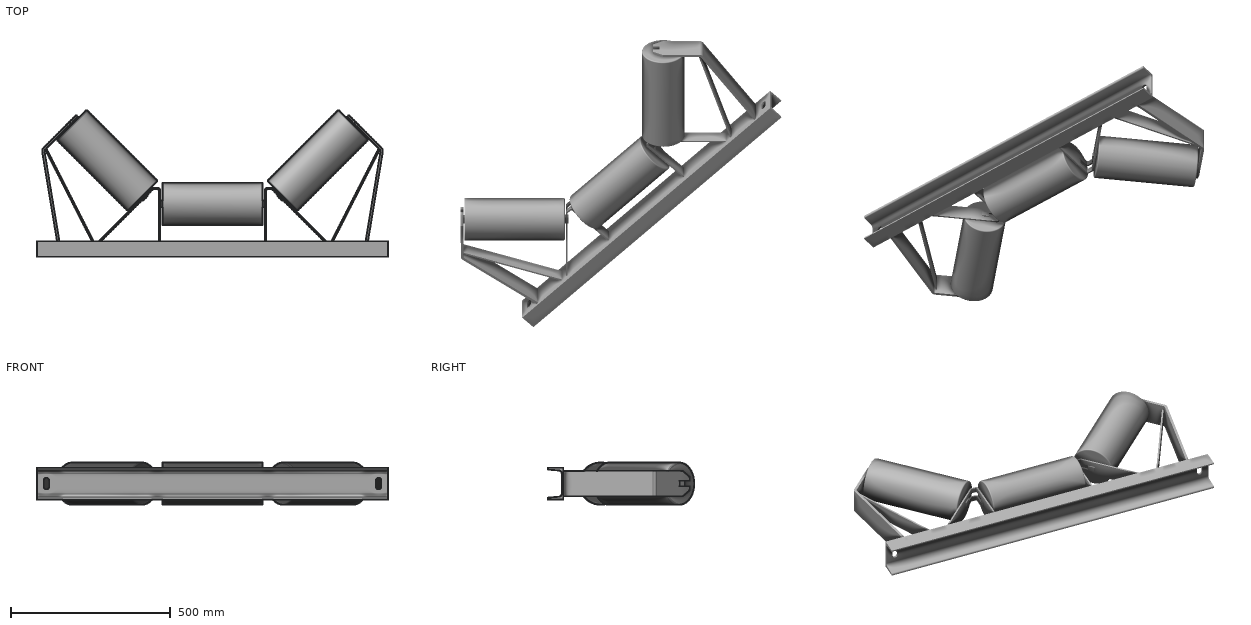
import cadquery as cq
import math


BEAM_LENGTH = 1100.0
BEAM_HEIGHT = 100.0
BEAM_DEPTH = 50.0
WEB_THICKNESS = 6.0
FLANGE_THICKNESS = 8.5
FLANGE_SLOPE = 0.08
ROOT_RADIUS = 8.5
TOE_RADIUS = 4.0
SLOT_OFFSET = 520.0
SLOT_LENGTH = 36.0
SLOT_WIDTH = 18.0

ROLLER_DIAMETER = 133.0
ROLLER_LENGTH = 315.0
ROLLER_EDGE_RADIUS = 3.0
CENTRE_GAP = 7.0
SIDE_GAP = 3.0
TAB_DEPTH = 22.0
TAB_WIDTH = 16.0
TROUGH_ANGLE = 45.0
CENTRE_ROLLER_Y = 166.0
SIDE_ROLLER_X = 330.0
SIDE_ROLLER_Y = 302.0

INNER_WIDTH = 50.0
INNER_THICKNESS = 5.0
INNER_TOP_Y = 217.0
INNER_BEND_RADIUS = 3.0

OUTER_WIDTH = 80.0
OUTER_THICKNESS = 8.0
OUTER_TIP_RISE = 32.0
OUTER_BEND_DROP = 121.0
OUTER_FOOT_X = 487.0
OUTER_BEND_RADIUS = 4.0
TIP_CHAMFER_LENGTH = 31.0
TIP_CHAMFER_WIDTH = 19.0

STRUT_WIDTH = 50.0
STRUT_THICKNESS = 5.0
STRUT_FOOT_X = 375.0
STRUT_ANGLE = 27.0

SHAFT_REACH = ROLLER_LENGTH / 2 + SIDE_GAP + OUTER_THICKNESS
ANGLE = math.radians(TROUGH_ANGLE)
AXIS_IN = cq.Vector(math.cos(ANGLE), -math.sin(ANGLE))
ACROSS = cq.Vector(math.sin(ANGLE), math.cos(ANGLE))
SIDE_CENTRE = cq.Vector(-SIDE_ROLLER_X, SIDE_ROLLER_Y)
BELOW_BEAM_FACE = 11.0


def crossing(start_a, along_a, start_b, along_b):
    """Point where two lines in the XY plane cross."""
    step = start_b - start_a
    turn = along_a.x * along_b.y - along_a.y * along_b.x
    distance = (step.x * along_b.y - step.y * along_b.x) / turn
    return start_a + along_a * distance


def strip(path, thickness, width):
    """Bent strip with its right-hand face on the path, with sharp bends, centred on Z = 0."""
    runs = [(b - a).normalized() for a, b in zip(path, path[1:])]
    shifts = [cq.Vector(-run.y, run.x) * thickness for run in runs]
    left = [path[0] + shifts[0]]
    for i in range(1, len(runs)):
        left.append(crossing(path[i] + shifts[i - 1], runs[i - 1], path[i] + shifts[i], runs[i]))
    left.append(path[-1] + shifts[-1])
    corners = [(p.x, p.y) for p in path + left[::-1]]
    body = cq.Workplane("XY", origin=(0, 0, -width / 2)).polyline(corners).close().extrude(width)
    return body, left


def round_bend(body, inside, outside, inside_radius, thickness):
    """Round the two edges of one bend about a common centre."""
    for point, radius in ((inside, inside_radius), (outside, inside_radius + thickness)):
        edge = cq.selectors.NearestToPointSelector((point.x, point.y, 0))
        body = body.edges("|Z").edges(edge).fillet(radius)
    return body


def trim_at_beam(body):
    """Remove what lies below the outer face of the web."""
    below = cq.Workplane("XY").box(BEAM_LENGTH, BEAM_DEPTH, BEAM_HEIGHT)
    return body.cut(below.translate((0, BEAM_DEPTH / 2, 0)))


def mirrored(body):
    return body.mirror("YZ")


def make_beam():
    half = BEAM_HEIGHT / 2
    toe = half - FLANGE_THICKNESS + FLANGE_SLOPE * BEAM_DEPTH / 2
    root = toe - FLANGE_SLOPE * (BEAM_DEPTH - WEB_THICKNESS)
    web_inside = BEAM_DEPTH - WEB_THICKNESS
    upper = [(BEAM_DEPTH, half), (0, half), (0, toe), (web_inside, root)]
    lower = [(y, -z) for y, z in reversed(upper)]
    beam = cq.Workplane("YZ", origin=(-BEAM_LENGTH / 2, 0, 0))
    beam = beam.polyline(upper + lower).close().extrude(BEAM_LENGTH)
    near = 1.0
    root_edges = cq.selectors.BoxSelector(
        (-near, web_inside - near, -half + near), (near, web_inside + near, half - near))
    toe_edges = cq.selectors.BoxSelector(
        (-near, -near, -half + near), (near, near, half - near))
    beam = beam.edges("|X").edges(root_edges).fillet(ROOT_RADIUS)
    beam = beam.edges("|X").edges(toe_edges).fillet(TOE_RADIUS)
    slots = (
        cq.Workplane("XZ")
        .pushPoints([(-SLOT_OFFSET, 0), (SLOT_OFFSET, 0)])
        .slot2D(SLOT_LENGTH, SLOT_WIDTH, 90)
        .extrude(-BEAM_DEPTH)
    )
    return beam.cut(slots)


def make_roller():
    """Roller along X, centred on the origin, with a flat shaft tab at each end."""
    shell = cq.Workplane("YZ", origin=(-ROLLER_LENGTH / 2, 0, 0))
    shell = shell.circle(ROLLER_DIAMETER / 2).extrude(ROLLER_LENGTH)
    shell = shell.edges("%CIRCLE").fillet(ROLLER_EDGE_RADIUS)
    tabs = cq.Workplane("XY").box(2 * SHAFT_REACH, TAB_DEPTH, TAB_WIDTH)
    return shell.union(tabs)


def make_inner_bracket():
    centre_face = cq.Vector(-(ROLLER_LENGTH / 2 + CENTRE_GAP), CENTRE_ROLLER_Y)
    side_face = SIDE_CENTRE + AXIS_IN * (ROLLER_LENGTH / 2 + SIDE_GAP)
    x_axis = cq.Vector(1, 0)
    foot_line = cq.Vector(0, BEAM_DEPTH - BELOW_BEAM_FACE)
    top_line = cq.Vector(0, INNER_TOP_Y)
    path = [
        cq.Vector(centre_face.x, foot_line.y),
        cq.Vector(centre_face.x, INNER_TOP_Y),
        crossing(side_face, ACROSS, top_line, x_axis),
        crossing(side_face, ACROSS, foot_line, x_axis),
    ]
    bracket, inside = strip(path, INNER_THICKNESS, INNER_WIDTH)
    for i in (1, 2):
        bracket = round_bend(bracket, inside[i], path[i], INNER_BEND_RADIUS, INNER_THICKNESS)

    centre_seat = centre_face - cq.Vector(0, TAB_DEPTH / 2)
    side_seat = side_face - ACROSS * (TAB_DEPTH / 2)
    outline = [
        centre_seat, path[1], path[2], side_seat,
        side_seat + AXIS_IN * INNER_THICKNESS,
        centre_seat - cq.Vector(INNER_THICKNESS, 0),
    ]
    slot = cq.Workplane("XY").polyline([(p.x, p.y) for p in outline]).close()
    slot = slot.extrude(TAB_WIDTH / 2, both=True)
    return trim_at_beam(bracket.cut(slot))


def make_outer_bracket():
    outer_face = SIDE_CENTRE - AXIS_IN * SHAFT_REACH
    tip = outer_face + ACROSS * OUTER_TIP_RISE
    bend = outer_face - ACROSS * OUTER_BEND_DROP
    foot = cq.Vector(-OUTER_FOOT_X, BEAM_DEPTH)
    leg = (foot - bend).normalized()
    path = [tip, bend, foot + leg * BELOW_BEAM_FACE]
    bracket, inside = strip(path, OUTER_THICKNESS, OUTER_WIDTH)
    bracket = round_bend(bracket, inside[1], bend, OUTER_BEND_RADIUS, OUTER_THICKNESS)

    upper_face = cq.Plane(origin=outer_face, xDir=ACROSS, normal=AXIS_IN)
    seat = -TAB_DEPTH / 2
    slot_length = OUTER_TIP_RISE - seat
    slot = (
        cq.Workplane(upper_face)
        .center(seat + slot_length / 2, 0)
        .rect(slot_length, TAB_WIDTH)
        .extrude(OUTER_THICKNESS)
    )
    bracket = bracket.cut(slot)
    for side in (1, -1):
        edge = side * OUTER_WIDTH / 2
        corner = (
            cq.Workplane(upper_face)
            .polyline([
                (OUTER_TIP_RISE, edge),
                (OUTER_TIP_RISE - TIP_CHAMFER_LENGTH, edge),
                (OUTER_TIP_RISE, edge - side * TIP_CHAMFER_WIDTH),
            ])
            .close()
            .extrude(OUTER_THICKNESS)
        )
        bracket = bracket.cut(corner)
    return trim_at_beam(bracket)


def make_strut(outer_bracket):
    lean = math.radians(STRUT_ANGLE)
    along = cq.Vector(-math.sin(lean), math.cos(lean))
    across = cq.Vector(math.cos(lean), math.sin(lean))
    foot = cq.Vector(-STRUT_FOOT_X, BEAM_DEPTH)
    plate_middle = SIDE_CENTRE - AXIS_IN * (SHAFT_REACH - OUTER_THICKNESS / 2)
    end = crossing(foot, along, plate_middle, ACROSS)
    edge = across * (STRUT_THICKNESS / 2)
    path = [foot - along * BELOW_BEAM_FACE + edge, end + edge]
    bar, _ = strip(path, STRUT_THICKNESS, STRUT_WIDTH)
    return trim_at_beam(bar.cut(outer_bracket))


beam = make_beam()

roller = make_roller()
centre_roller = roller.translate((0, CENTRE_ROLLER_Y, 0))
side_roller = roller.rotate((0, 0, 0), (0, 0, 1), -TROUGH_ANGLE).translate(SIDE_CENTRE)
inner_bracket = make_inner_bracket()
outer_bracket = make_outer_bracket()
strut = make_strut(outer_bracket)

bodies = beam.solids().vals() + centre_roller.solids().vals()
for body in (side_roller, inner_bracket, outer_bracket, strut):
    bodies += body.solids().vals() + mirrored(body).solids().vals()

result = cq.Compound.makeCompound(bodies)